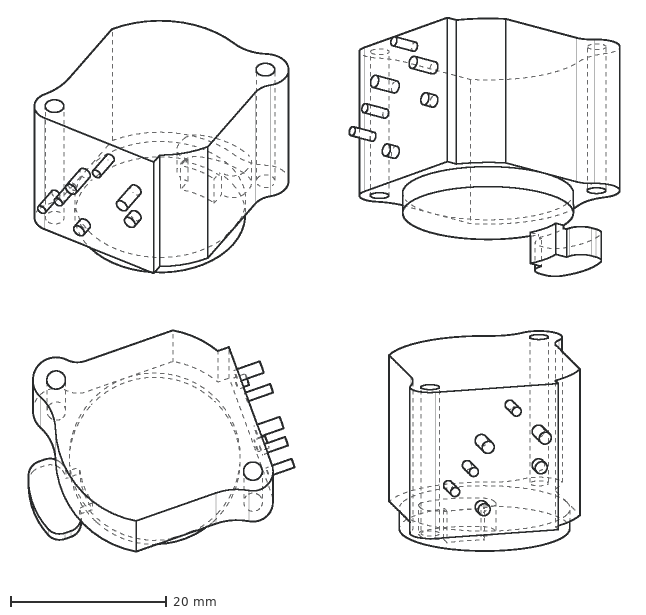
import cadquery as cq
import math


body_height = 19.5
body_round_radius = 12.75
body_half_width = 11.0
front_y = -12.5
front_right_x = 6.5

screw_circle_radius = 14.0
ear_offset = screw_circle_radius * math.sqrt(0.5)
back_ear = (ear_offset, ear_offset)
front_ear = (-ear_offset, -ear_offset)
back_ear_radius = 3.0
front_ear_radius = -front_y - ear_offset
screw_hole_diameter = 2.4
back_blend_radius = 6.0
right_blend_radius = 3.0
left_blend_radius = 8.0

boss_radius = 11.0
boss_height = 2.7
neck_width = 5.0
neck_inner_radius = 9.7
lever_gap = 0.4
lever_top_z = -(boss_height + lever_gap)
lever_height = 3.8
lever_bottom_z = lever_top_z - lever_height
lever_width = 10.0
lever_inner_y = 11.2
lever_tip_y = 16.62
lever_tip_radius = 10.0
lever_corner_radius = 2.0

thin_pin_diameter = 1.2
thick_pin_diameter = 1.6
long_pin = 3.5
short_pin = 1.5
pins = [
    (0.0, 17.15, thin_pin_diameter, long_pin),
    (-5.7, 9.5, thin_pin_diameter, long_pin),
    (-8.2, 7.0, thin_pin_diameter, long_pin),
    (3.8, 13.35, thick_pin_diameter, long_pin),
    (-3.8, 12.65, thick_pin_diameter, long_pin),
    (3.8, 8.85, thick_pin_diameter, short_pin),
    (-3.8, 3.8, thick_pin_diameter, short_pin),
]


def toward(start, target, distance):
    """Point at a distance from start, on the way to target."""
    angle = math.atan2(target[1] - start[1], target[0] - start[0])
    return (start[0] + distance * math.cos(angle), start[1] + distance * math.sin(angle))


def arc_middle(center, start, end):
    """Middle of the arc around center from start to end, for arcs under half a turn."""
    chord_middle = ((start[0] + end[0]) / 2, (start[1] + end[1]) / 2)
    return toward(center, chord_middle, math.dist(center, start))


def blend_center_on_side(side_x, ear, ear_radius, blend_radius):
    """Center of a concave blend from a side parallel to Y to an ear, closer than the ear to the X axis."""
    x = side_x + math.copysign(blend_radius, side_x)
    rise = math.sqrt((ear_radius + blend_radius) ** 2 - (x - ear[0]) ** 2)
    return (x, ear[1] - math.copysign(rise, ear[1]))


def blend_center_on_back():
    """Center of the concave blend that touches the rounded back and the back ear."""
    to_axis = body_round_radius + back_blend_radius
    to_ear = back_ear_radius + back_blend_radius
    axis_to_ear = math.hypot(*back_ear)
    cosine = (to_axis ** 2 + axis_to_ear ** 2 - to_ear ** 2) / (2 * to_axis * axis_to_ear)
    angle = math.atan2(back_ear[1], back_ear[0]) + math.acos(cosine)
    return (to_axis * math.cos(angle), to_axis * math.sin(angle))


def make_body():
    axis = (0.0, 0.0)
    side_corner_y = math.sqrt(body_round_radius ** 2 - body_half_width ** 2)
    step_y = -math.sqrt(body_round_radius ** 2 - front_right_x ** 2)

    back_blend = blend_center_on_back()
    right_blend = blend_center_on_side(body_half_width, back_ear, back_ear_radius, right_blend_radius)
    left_blend = blend_center_on_side(-body_half_width, front_ear, front_ear_radius, left_blend_radius)

    step = (front_right_x, step_y)
    right_corner = (body_half_width, -side_corner_y)
    right_blend_start = (body_half_width, right_blend[1])
    right_blend_end = toward(right_blend, back_ear, right_blend_radius)
    back_blend_start = toward(back_ear, back_blend, back_ear_radius)
    back_blend_end = toward(axis, back_blend, body_round_radius)
    left_corner = (-body_half_width, side_corner_y)
    left_blend_start = (-body_half_width, left_blend[1])
    left_blend_end = toward(left_blend, front_ear, left_blend_radius)
    front_ear_end = (front_ear[0], front_y)

    outline = (
        cq.Workplane("XY")
        .moveTo(*front_ear_end)
        .lineTo(front_right_x, front_y)
        .lineTo(*step)
        .threePointArc(arc_middle(axis, step, right_corner), right_corner)
        .lineTo(*right_blend_start)
        .threePointArc(arc_middle(right_blend, right_blend_start, right_blend_end), right_blend_end)
        .threePointArc(toward(back_ear, axis, -back_ear_radius), back_blend_start)
        .threePointArc(arc_middle(back_blend, back_blend_start, back_blend_end), back_blend_end)
        .threePointArc(arc_middle(axis, back_blend_end, left_corner), left_corner)
        .lineTo(*left_blend_start)
        .threePointArc(arc_middle(left_blend, left_blend_start, left_blend_end), left_blend_end)
        .threePointArc(arc_middle(front_ear, left_blend_end, front_ear_end), front_ear_end)
        .close()
    )
    screw_holes = (
        cq.Workplane("XY")
        .pushPoints([back_ear, front_ear])
        .circle(screw_hole_diameter / 2)
        .extrude(body_height)
    )
    return outline.extrude(body_height).cut(screw_holes)


def make_boss():
    return cq.Workplane("XY").circle(boss_radius).extrude(-boss_height)


def make_lever():
    half_width = lever_width / 2
    tip_center_y = lever_tip_y - lever_tip_radius
    shoulder_y = tip_center_y + math.sqrt(lever_tip_radius ** 2 - half_width ** 2)
    return (
        cq.Workplane("XY")
        .workplane(offset=lever_bottom_z)
        .moveTo(-half_width, lever_inner_y)
        .lineTo(half_width, lever_inner_y)
        .lineTo(half_width, shoulder_y)
        .threePointArc((0, lever_tip_y), (-half_width, shoulder_y))
        .close()
        .extrude(lever_height)
        .edges("|Z")
        .fillet(lever_corner_radius)
    )


def make_neck_block(back_y, top_z):
    """Block of the neck's width from the boss axis to back_y, from the lever's lower face to top_z."""
    return (
        cq.Workplane("XY")
        .workplane(offset=lever_bottom_z)
        .center(0, back_y / 2)
        .rect(neck_width, back_y)
        .extrude(top_z - lever_bottom_z)
    )


def make_neck():
    """Ring segment under the boss, filled out to the lever over the lever's height."""
    boss_column = cq.Workplane("XY").circle(boss_radius).extrude(lever_bottom_z)
    inner_column = cq.Workplane("XY").circle(neck_inner_radius).extrude(lever_bottom_z)
    ring_segment = make_neck_block(boss_radius, -boss_height).intersect(boss_column)
    lever_link = make_neck_block(lever_inner_y, lever_top_z)
    return ring_segment.union(lever_link).cut(inner_column)


def make_pin(x, z, diameter, length):
    return (
        cq.Workplane("XZ", origin=(x, front_y, z))
        .circle(diameter / 2)
        .extrude(length)
    )


result = make_body().union(make_boss()).union(make_neck()).union(make_lever())
for pin in pins:
    result = result.union(make_pin(*pin))